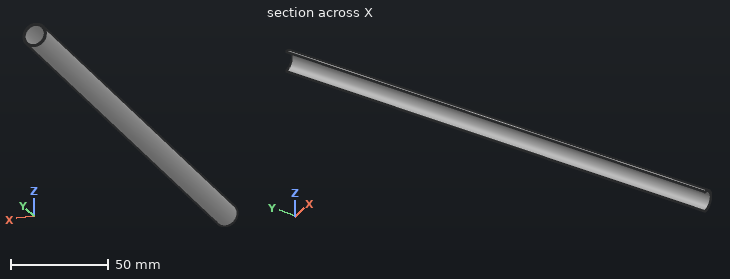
import cadquery as cq

tube_length = 254.0
outer_diameter = 12.7
wall_thickness = 0.81
inner_diameter = outer_diameter - 2 * wall_thickness

result = (
    cq.Workplane("XZ", origin=(0, tube_length / 2, 0))
    .circle(outer_diameter / 2)
    .circle(inner_diameter / 2)
    .extrude(tube_length)
)